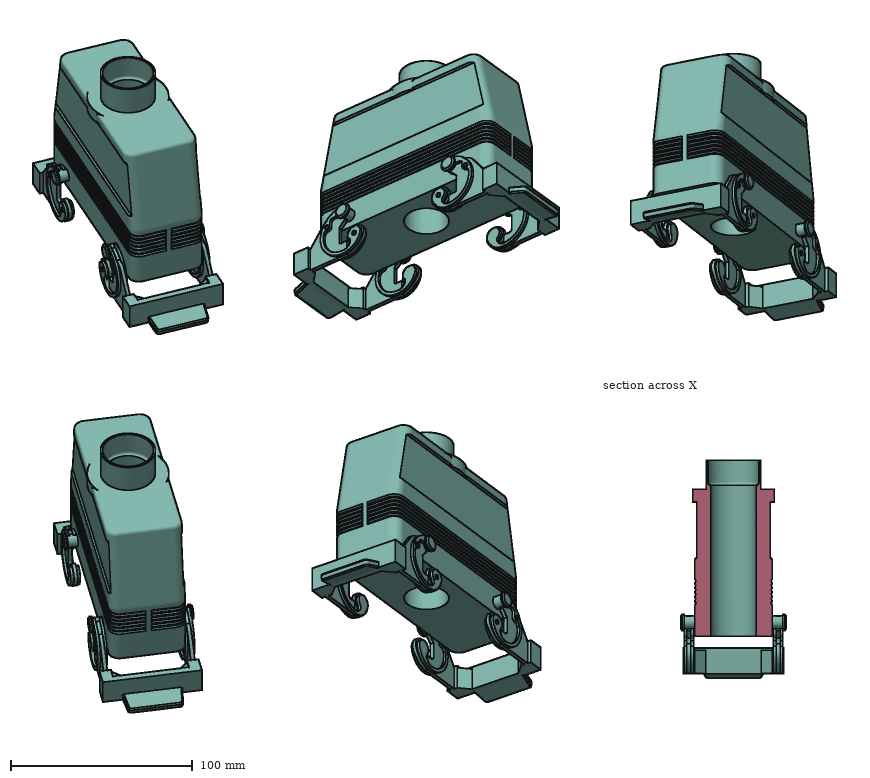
import cadquery as cq
import math


HALF_LENGTH = 60.2
HALF_WIDTH = 21.45
HOOD_HEIGHT = 81.0
TAPER_START = 34.75
TAPER_BLEND_RADIUS = 6.5
TOP_HALF_LENGTH = 50.6
CORNER_RADIUS = 6.0
TOP_FILLET = 2.2

PANEL_DEPTH = 1.1
PANEL_BOTTOM = 42.2
PANEL_TOP = 73.8
PANEL_LIP_RISE = 0.8

GROOVE_COUNT = 6
GROOVE_PITCH = 2.45
GROOVE_WIDTH = 2.0
GROOVE_DEPTH = 0.7
GROOVE_BAND_BOTTOM = 17.2
END_GAP_WIDTH = 3.2

COLLAR_RADIUS = 22.5
NECK_RADIUS = 15.1
NECK_TOP = 97.0
NECK_BORE_RADIUS = 14.0
NECK_BORE_DEPTH = 13.8
THROAT_RADIUS = 12.4

LEVER_MID_Y = 24.5
PLATE_THICKNESS = 2.2
CHEEK_WIDTH = 5.4
PIN_END_Y = 29.0

PIN_X = -37.0
PIN_Z = 7.65
PIN_HEAD_RADIUS = 4.5
PIN_HEAD_CHAMFER = 0.9
PIN_RADIUS = PIN_HEAD_RADIUS - PIN_HEAD_CHAMFER
PIN_EMBED = 1.0
LEVER_BOTTOM = -20.5
LEVER_RADIUS = 15.95
PLATE_RECESS = 0.6
LEVER_Z = LEVER_BOTTOM + LEVER_RADIUS
CRESCENT_WIDTH = 2.0
HOOK_X = -29.5
HOOK_Z = -9.8
HOOK_RADIUS = 5.7
HOOK_CHEEK_RADIUS = 4.4
EAR_X = -48.45
EAR_Z = 2.0
EAR_RADIUS = 2.2
LEVER_HOLE_RADIUS = 1.3
LEVER_HOLE_DEPTH = 0.5
TAIL_NOSE = (-32.1, -14.6)
TAIL_SIDE = (-32.4, -15.5)
TAIL_SWEEP = (-33.9, -17.4)
TAIL_START_X = -36.0
SHOULDER_INNER = (-46.8, 7.9)
SHOULDER_CREST = (-50.6, 6.7)
SHOULDER_OUTER = (-52.9, 4.5)
MOUTH_X = -41.1
MOUTH_FLOOR = -11.7
MOUTH_FILLET = 1.4
PLATE_TIP_X = -35.6

BAR_OUTER_X = -71.0
BAR_INNER_X = -67.0
BAR_END_X = -61.1
BAR_HALF_WIDTH = 27.75
BAR_INNER_HALF_WIDTH = 21.3
BAR_TOP = -6.35
GUSSET_DROP = 1.2

TAB_TIP_X = -81.395
TAB_BOTTOM = -23.08
TAB_SLOPE = 15.0
TAB_THICKNESS = 4.0
TAB_ROOT_HALF_WIDTH = 17.0
TAB_TIP_HALF_WIDTH = 15.3
TAB_CORNER_RADIUS = 2.0
TAB_EDGE_CHAMFER = 0.8


def xz_prism(sketch, width):
    """Extrude an XZ outline by width, centred on the mid plane of the -Y lever arm."""
    return sketch.extrude(width / 2, both=True).translate((0, -LEVER_MID_Y, 0))


def xz_disc(x, z, radius, width):
    return xz_prism(cq.Workplane("XZ").center(x, z).circle(radius), width)


def hood_body():
    body = (
        cq.Workplane("XZ")
        .moveTo(-HALF_LENGTH, 0)
        .lineTo(HALF_LENGTH, 0)
        .lineTo(HALF_LENGTH, TAPER_START)
        .lineTo(TOP_HALF_LENGTH, HOOD_HEIGHT)
        .lineTo(-TOP_HALF_LENGTH, HOOD_HEIGHT)
        .lineTo(-HALF_LENGTH, TAPER_START)
        .close()
        .extrude(HALF_WIDTH, both=True)
    )
    body = body.edges(cq.NearestToPointSelector((-HALF_LENGTH, 0, TAPER_START))).fillet(TAPER_BLEND_RADIUS)
    body = body.edges(cq.NearestToPointSelector((HALF_LENGTH, 0, TAPER_START))).fillet(TAPER_BLEND_RADIUS)
    body = body.faces("<Y or >Y").edges("not #Z").fillet(CORNER_RADIUS)
    return body.faces(">Z").edges().fillet(TOP_FILLET)


def side_panel_cutter():
    """Recess for the -Y side, with a 45 degree ledge below and a lip that slopes outward above."""
    floor_y = -HALF_WIDTH + PANEL_DEPTH
    return (
        cq.Workplane("YZ")
        .moveTo(-HALF_WIDTH, PANEL_BOTTOM)
        .lineTo(floor_y, PANEL_BOTTOM + PANEL_DEPTH)
        .lineTo(floor_y, PANEL_TOP)
        .lineTo(-HALF_WIDTH, PANEL_TOP + PANEL_LIP_RISE)
        .close()
        .extrude(HALF_LENGTH, both=True)
    )


def groove_cutter():
    """One V groove ring centred on Z = 0, interrupted in the middle of both ends."""
    half_groove = GROOVE_WIDTH / 2
    taper = math.degrees(math.atan(GROOVE_DEPTH / half_groove))
    ring = cq.Workplane("XY").box(2 * HALF_LENGTH, 2 * HALF_WIDTH, GROOVE_WIDTH)
    outline = (
        cq.Sketch()
        .rect(2 * HALF_LENGTH, 2 * HALF_WIDTH)
        .vertices()
        .fillet(CORNER_RADIUS)
    )
    lower_core = (
        cq.Workplane("XY")
        .workplane(offset=-half_groove)
        .placeSketch(outline)
        .extrude(half_groove, taper=taper)
    )
    upper_core = lower_core.mirror("XY")
    gap = cq.Workplane("XY").box(2 * HALF_LENGTH, END_GAP_WIDTH, GROOVE_WIDTH)
    return ring.cut(lower_core).cut(upper_core).cut(gap)


def grooved(body):
    groove = groove_cutter()
    for index in range(GROOVE_COUNT):
        height = GROOVE_BAND_BOTTOM + GROOVE_WIDTH / 2 + index * GROOVE_PITCH
        body = body.cut(groove.translate((0, 0, height)))
    return body


def neck_bore_cutter():
    """Straight bore, a coved step and a narrower throat down through the hood."""
    step_z = NECK_TOP - NECK_BORE_DEPTH
    cove = NECK_BORE_RADIUS - THROAT_RADIUS
    diagonal = cove * math.sqrt(0.5)
    return (
        cq.Workplane("XZ")
        .moveTo(0, 0)
        .lineTo(THROAT_RADIUS, 0)
        .lineTo(THROAT_RADIUS, step_z)
        .threePointArc(
            (THROAT_RADIUS + diagonal, step_z + cove - diagonal),
            (NECK_BORE_RADIUS, step_z + cove),
        )
        .lineTo(NECK_BORE_RADIUS, NECK_TOP)
        .lineTo(0, NECK_TOP)
        .close()
        .revolve(360, (0, 0, 0), (0, 1, 0))
    )


def hood():
    panel = side_panel_cutter()
    body = grooved(hood_body()).cut(panel).cut(panel.mirror("XZ"))
    collar_height = HOOD_HEIGHT - PANEL_TOP
    collar = cq.Workplane("XY").workplane(offset=PANEL_TOP).circle(COLLAR_RADIUS).extrude(collar_height)
    neck = cq.Workplane("XY").workplane(offset=PANEL_TOP).circle(NECK_RADIUS).extrude(NECK_TOP - PANEL_TOP)
    return body.union(collar).union(neck).cut(neck_bore_cutter())


def hook(radius, width):
    """Tail that sweeps up from the lowest point of the lever into the round hook end."""
    reach = HOOK_X - PIN_X
    rise = HOOK_Z - LEVER_BOTTOM
    sweep_radius = (reach**2 + rise**2 - radius**2) / (2 * (rise - radius))
    sweep_z = LEVER_BOTTOM + sweep_radius
    end_angle = math.atan2(HOOK_Z - sweep_z, reach)
    mid_angle = (end_angle - math.pi / 2) / 2

    def on_sweep(angle):
        return (PIN_X + sweep_radius * math.cos(angle), sweep_z + sweep_radius * math.sin(angle))

    crescent_floor = LEVER_BOTTOM + CRESCENT_WIDTH
    tail = xz_prism(
        cq.Workplane("XZ")
        .moveTo(PIN_X, LEVER_BOTTOM)
        .threePointArc(on_sweep(mid_angle), on_sweep(end_angle))
        .lineTo(HOOK_X, HOOK_Z)
        .lineTo(HOOK_X - radius * math.sqrt(0.5), HOOK_Z - radius * math.sqrt(0.5))
        .threePointArc(TAIL_NOSE, TAIL_SIDE)
        .threePointArc(TAIL_SWEEP, (TAIL_START_X, crescent_floor))
        .lineTo(PIN_X, crescent_floor)
        .close(),
        width,
    )
    return tail.union(xz_disc(HOOK_X, HOOK_Z, radius, width))


def lever_half_disc(radius, width):
    """The part of a disc about the lever centre that lies outboard of the pin."""
    span = 2 * LEVER_RADIUS
    clip = xz_prism(cq.Workplane("XZ").center(PIN_X - span / 2, LEVER_Z).rect(span, span), width)
    return xz_disc(PIN_X, LEVER_Z, radius, width).intersect(clip)


def ear_region(width):
    """Outline that widens the crescent around the ear hole and up to the pin."""
    ear_right = EAR_X + EAR_RADIUS
    ear_bottom = EAR_Z - EAR_RADIUS
    diagonal = EAR_RADIUS * math.sqrt(0.5)
    shoulder = EAR_RADIUS
    shoulder_z = EAR_Z + 2 * shoulder
    far_x = PIN_X - LEVER_RADIUS
    return xz_prism(
        cq.Workplane("XZ")
        .moveTo(PIN_X, shoulder_z)
        .lineTo(ear_right + shoulder, shoulder_z)
        .threePointArc(
            (ear_right + shoulder - diagonal, shoulder_z - shoulder + diagonal),
            (ear_right, shoulder_z - shoulder),
        )
        .lineTo(ear_right, EAR_Z)
        .threePointArc((EAR_X + diagonal, EAR_Z - diagonal), (EAR_X, ear_bottom))
        .threePointArc(
            (EAR_X - diagonal, ear_bottom - EAR_RADIUS + diagonal),
            (EAR_X - EAR_RADIUS, ear_bottom - EAR_RADIUS),
        )
        .lineTo(far_x, ear_bottom - EAR_RADIUS)
        .lineTo(far_x, LEVER_Z + LEVER_RADIUS)
        .lineTo(PIN_X, LEVER_Z + LEVER_RADIUS)
        .close(),
        width,
    )


def lever_cheeks():
    """Pair of crescents, one on each face of the lever plate."""
    disc = lever_half_disc(LEVER_RADIUS, CHEEK_WIDTH)
    crescent = disc.cut(lever_half_disc(LEVER_RADIUS - CRESCENT_WIDTH, CHEEK_WIDTH))
    cheeks = crescent.union(disc.intersect(ear_region(CHEEK_WIDTH)))
    cheeks = cheeks.union(hook(HOOK_CHEEK_RADIUS, CHEEK_WIDTH))
    plate_layer = xz_prism(
        cq.Workplane("XZ").center(PIN_X, LEVER_Z).rect(4 * LEVER_RADIUS, 4 * LEVER_RADIUS),
        PLATE_THICKNESS,
    )
    return cheeks.cut(plate_layer)


def lever_plate():
    arm = xz_prism(
        cq.Workplane("XZ")
        .moveTo(BAR_END_X, LEVER_BOTTOM)
        .lineTo(PIN_X, LEVER_BOTTOM)
        .lineTo(PIN_X, LEVER_Z)
        .lineTo(*SHOULDER_INNER)
        .threePointArc(SHOULDER_CREST, SHOULDER_OUTER)
        .lineTo(BAR_END_X, BAR_TOP)
        .close(),
        PLATE_THICKNESS,
    )
    tip = xz_prism(
        cq.Workplane("XZ")
        .moveTo(PIN_X, LEVER_BOTTOM)
        .lineTo(PLATE_TIP_X, LEVER_BOTTOM)
        .lineTo(PLATE_TIP_X, MOUTH_FLOOR)
        .lineTo(PIN_X, MOUTH_FLOOR)
        .close(),
        PLATE_THICKNESS,
    )
    mouth = xz_prism(
        cq.Workplane("XZ")
        .moveTo(PIN_X, PIN_Z - PIN_HEAD_RADIUS)
        .lineTo(MOUTH_X, PIN_Z - PIN_HEAD_RADIUS + MOUTH_X - PIN_X)
        .lineTo(MOUTH_X, MOUTH_FLOOR)
        .lineTo(PIN_X, MOUTH_FLOOR)
        .close(),
        PLATE_THICKNESS,
    )
    mouth = mouth.edges("<X and <Z").edges("|Y").fillet(MOUTH_FILLET)
    body = arm.union(lever_half_disc(LEVER_RADIUS - PLATE_RECESS, PLATE_THICKNESS)).cut(mouth)
    return body.union(tip).union(hook(HOOK_RADIUS, PLATE_THICKNESS))


def pivot_pin():
    """Pin that carries the lever on the hood side, with a chamfered head outside."""
    cheek_face = LEVER_MID_Y + CHEEK_WIDTH / 2
    shank_start = HALF_WIDTH - PIN_EMBED
    shank = (
        cq.Workplane("XZ", origin=(PIN_X, -shank_start, PIN_Z))
        .circle(PIN_RADIUS)
        .extrude(cheek_face - shank_start)
    )
    head = (
        cq.Workplane("XZ", origin=(PIN_X, -cheek_face, PIN_Z))
        .circle(PIN_HEAD_RADIUS)
        .extrude(PIN_END_Y - cheek_face)
        .faces("<Y")
        .chamfer(PIN_HEAD_CHAMFER)
    )
    return shank.union(head)


def lever_hole_cutter(x, z):
    """Shallow blind hole in the outer cheek face."""
    floor_y = LEVER_MID_Y + CHEEK_WIDTH / 2 - LEVER_HOLE_DEPTH
    return (
        cq.Workplane("XZ", origin=(x, -floor_y, z))
        .circle(LEVER_HOLE_RADIUS)
        .extrude(LEVER_HOLE_DEPTH)
    )


def lever_arm():
    arm = lever_plate().union(lever_cheeks())
    for x, z in ((EAR_X, EAR_Z), (HOOK_X, HOOK_Z)):
        arm = arm.cut(lever_hole_cutter(x, z))
    return arm.union(pivot_pin())


def handle_bar():
    bar_height = BAR_TOP - LEVER_BOTTOM
    bar = (
        cq.Workplane("XY")
        .workplane(offset=LEVER_BOTTOM)
        .moveTo(BAR_OUTER_X, -BAR_HALF_WIDTH)
        .lineTo(BAR_END_X, -BAR_HALF_WIDTH)
        .lineTo(BAR_END_X, -BAR_INNER_HALF_WIDTH)
        .lineTo(BAR_INNER_X, -BAR_INNER_HALF_WIDTH)
        .lineTo(BAR_INNER_X, BAR_INNER_HALF_WIDTH)
        .lineTo(BAR_END_X, BAR_INNER_HALF_WIDTH)
        .lineTo(BAR_END_X, BAR_HALF_WIDTH)
        .lineTo(BAR_OUTER_X, BAR_HALF_WIDTH)
        .close()
        .extrude(bar_height)
    )
    gusset_leg = BAR_END_X - BAR_INNER_X
    gusset = (
        cq.Workplane("XY")
        .workplane(offset=LEVER_BOTTOM)
        .moveTo(BAR_INNER_X, -BAR_INNER_HALF_WIDTH)
        .lineTo(BAR_END_X, -BAR_INNER_HALF_WIDTH)
        .lineTo(BAR_INNER_X, -BAR_INNER_HALF_WIDTH + gusset_leg)
        .close()
        .extrude(bar_height - GUSSET_DROP)
    )
    return bar.union(gusset).union(gusset.mirror("XZ"))


def finger_tab():
    """Tapered plate that slopes down and outward; its root is buried in the bar."""
    slope = math.radians(TAB_SLOPE)
    chamfer_loss = TAB_EDGE_CHAMFER * math.sin(slope)
    sharp_tip_x = TAB_TIP_X - chamfer_loss
    tip_top_z = TAB_BOTTOM - chamfer_loss + TAB_THICKNESS * math.cos(slope)
    length = (BAR_OUTER_X - sharp_tip_x) / math.cos(slope) + TAB_THICKNESS * math.tan(slope)
    tab = (
        cq.Workplane("XY")
        .moveTo(0, -TAB_TIP_HALF_WIDTH)
        .lineTo(length, -TAB_ROOT_HALF_WIDTH)
        .lineTo(length, TAB_ROOT_HALF_WIDTH)
        .lineTo(0, TAB_TIP_HALF_WIDTH)
        .close()
        .extrude(-TAB_THICKNESS)
        .edges("|Z and <X")
        .fillet(TAB_CORNER_RADIUS)
    )
    tab = tab.faces("<Z or >Z").edges("not >X").chamfer(TAB_EDGE_CHAMFER)
    tab = tab.rotate((0, 0, 0), (0, 1, 0), -TAB_SLOPE).translate((sharp_tip_x, 0, tip_top_z))
    outboard = cq.Workplane("XY").box(BAR_INNER_X - TAB_TIP_X, 2 * BAR_HALF_WIDTH, 2 * HOOD_HEIGHT)
    return tab.intersect(outboard.translate(((BAR_INNER_X + TAB_TIP_X) / 2, 0, 0)))


def lever():
    arm = lever_arm()
    return arm.union(arm.mirror("XZ")).union(handle_bar()).union(finger_tab())


left_lever = lever()
result = hood().union(left_lever).union(left_lever.mirror("YZ"))